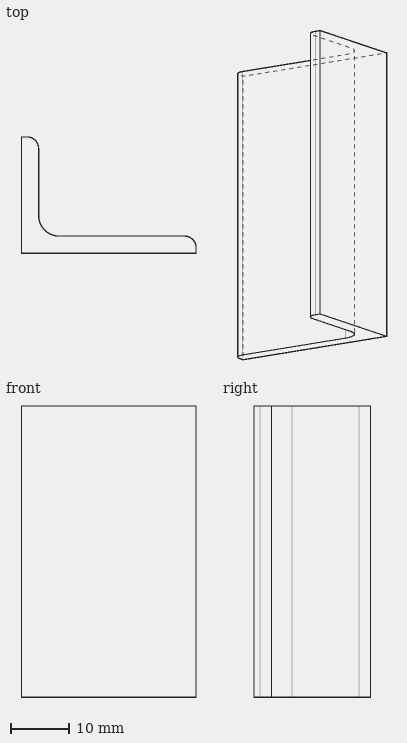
import cadquery as cq

long_leg = 30.0
short_leg = 20.0
thickness = 3.0
length = 50.0
root_radius = 3.5
toe_radius = 2.0


def angle_blank():
    """Sharp-cornered L section with its outer corner on the Z axis."""
    return (
        cq.Workplane("XY")
        .moveTo(0, 0)
        .lineTo(long_leg, 0)
        .lineTo(long_leg, thickness)
        .lineTo(thickness, thickness)
        .lineTo(thickness, short_leg)
        .lineTo(0, short_leg)
        .close()
        .extrude(length)
    )


def fillet_upright_edge(body, x, y, radius):
    """Round the vertical edge that passes through (x, y)."""
    edge = cq.selectors.NearestToPointSelector((x, y, length / 2))
    return body.edges("|Z").edges(edge).fillet(radius)


result = angle_blank()
result = fillet_upright_edge(result, thickness, thickness, root_radius)
result = fillet_upright_edge(result, long_leg, thickness, toe_radius)
result = fillet_upright_edge(result, thickness, short_leg, toe_radius)